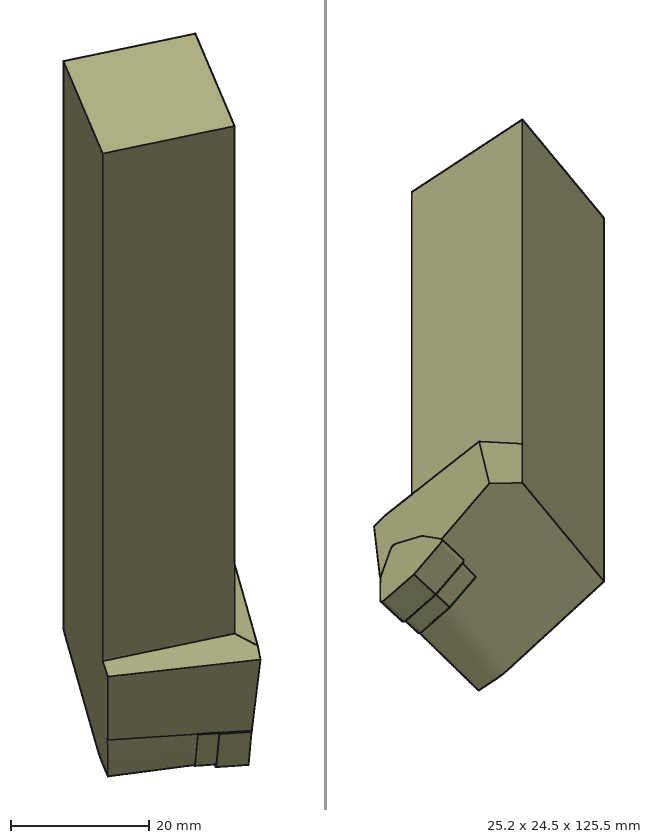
import cadquery as cq
import math

LENGTH = 125.5
SHANK = 20.0
END_SLOPE = 25.0
END_HIGH_Z = 9.9
END_FLAT_Z = 1.4
END_BLEND_RADIUS = 6.3

SHOULDER_Z = 22.3
SHOULDER_SLOPE = 14.0
HEAD_FRONT_X = 22.6
SIDE_CLEARANCE = 6.0
OVERSIZE = 37.6

RAKE_X = -0.1
RAKE_Z = 0.09

INSERT_X = 20.0
INSERT_Z = 5.3
INSERT_Y = 21.5
INSERT_INRADIUS = 4.9
INSERT_THICKNESS = 4.8
NOSE_RADIUS = 0.8
NOSE_ANGLE = 80.0
TIP_DIRECTION = -45.0
SEAT_INSET = 0.3
SEAT_THICKNESS = 3.1

RELIEF_INSET = 0.31
RELIEF_TOP = 1.6

rake_plane = cq.Plane(
    origin=(INSERT_X, INSERT_Y, INSERT_Z),
    xDir=(1, RAKE_X, 0),
    normal=(RAKE_X, -1, RAKE_Z),
)


def polar(radius, degrees):
    angle = math.radians(degrees)
    return radius * math.cos(angle), radius * math.sin(angle)


def trigon_points(inradius):
    """Three sharp corners alternating with three blunt ones, around an inscribed circle."""
    sharp_radius = inradius / math.sin(math.radians(NOSE_ANGLE / 2))
    blunt_radius = inradius / math.cos(math.radians(60 - (90 - NOSE_ANGLE / 2)))
    points = []
    for index in range(3):
        direction = TIP_DIRECTION + 120 * index
        points.append(polar(sharp_radius, direction))
        points.append(polar(blunt_radius, direction + 60))
    return points


def trigon_block(inradius, depth, thickness):
    """Trigon plate lying parallel to the rake face, starting at a depth below it."""
    plate = (
        cq.Workplane(rake_plane).workplane(offset=depth)
        .polyline(trigon_points(inradius)).close().extrude(thickness)
    )
    sharp_edges = []
    for corner in trigon_points(inradius)[::2]:
        middle = rake_plane.toWorldCoords((*corner, depth + thickness / 2))
        sharp_edges.append(cq.selectors.NearestToPointSelector(middle.toTuple()))
    return plate.newObject([plate.edges(pick).val() for pick in sharp_edges]).fillet(NOSE_RADIUS)


def make_shank():
    height = LENGTH - SHOULDER_Z
    return cq.Workplane("XY", origin=(0, 0, SHOULDER_Z)).rect(SHANK, SHANK, centered=False).extrude(height)


def make_head():
    shoulder_drop = math.tan(math.radians(SHOULDER_SLOPE))
    flat_start_x = (END_HIGH_Z - END_FLAT_Z) / math.tan(math.radians(END_SLOPE))
    end_block = (
        cq.Workplane("XZ")
        .moveTo(0, END_HIGH_Z)
        .lineTo(flat_start_x, END_FLAT_Z)
        .lineTo(OVERSIZE, END_FLAT_Z)
        .lineTo(OVERSIZE, SHOULDER_Z - shoulder_drop * (OVERSIZE - SHANK))
        .lineTo(SHANK, SHOULDER_Z)
        .lineTo(0, SHOULDER_Z)
        .close().extrude(-OVERSIZE)
    )
    blend_edge = cq.selectors.NearestToPointSelector((flat_start_x, OVERSIZE / 2, END_FLAT_Z))
    end_block = end_block.edges(blend_edge).fillet(END_BLEND_RADIUS)
    plan_block = (
        cq.Workplane("XY")
        .moveTo(0, 0)
        .lineTo(HEAD_FRONT_X, 0)
        .lineTo(HEAD_FRONT_X + OVERSIZE * math.tan(math.radians(SIDE_CLEARANCE)), OVERSIZE)
        .lineTo(OVERSIZE - SHANK, OVERSIZE)
        .lineTo(0, SHANK)
        .close().extrude(OVERSIZE)
    )
    shoulder_block = (
        cq.Workplane("YZ")
        .moveTo(0, 0)
        .lineTo(OVERSIZE, 0)
        .lineTo(OVERSIZE, SHOULDER_Z - shoulder_drop * (OVERSIZE - SHANK))
        .lineTo(SHANK, SHOULDER_Z)
        .lineTo(0, SHOULDER_Z)
        .close().extrude(OVERSIZE)
    )
    below_rake = cq.Workplane(rake_plane).rect(2 * OVERSIZE, 2 * OVERSIZE).extrude(OVERSIZE)
    return end_block.intersect(plan_block).intersect(shoulder_block).intersect(below_rake)


def make_relief():
    """Clearance beside the seat, parallel to the insert's cutting edge on the +X side."""
    edge_direction = TIP_DIRECTION + 180 - NOSE_ANGLE / 2
    tip = trigon_points(INSERT_INRADIUS)[0]
    lean = 1 / math.tan(math.radians(edge_direction))
    low_x = tip[0] - RELIEF_INSET
    top_x = low_x + (RELIEF_TOP - tip[1]) * lean
    return (
        cq.Workplane(rake_plane)
        .moveTo(low_x - lean * OVERSIZE, tip[1] - OVERSIZE)
        .lineTo(top_x, RELIEF_TOP)
        .lineTo(OVERSIZE, RELIEF_TOP)
        .lineTo(OVERSIZE, tip[1] - OVERSIZE)
        .close().extrude(OVERSIZE)
    )


insert = trigon_block(INSERT_INRADIUS, 0, INSERT_THICKNESS)
seat = trigon_block(INSERT_INRADIUS - SEAT_INSET, INSERT_THICKNESS, SEAT_THICKNESS)
holder = make_shank().union(make_head()).cut(make_relief()).union(seat).cut(insert)

result = cq.Compound.makeCompound([holder.solids().val(), insert.solids().val()])